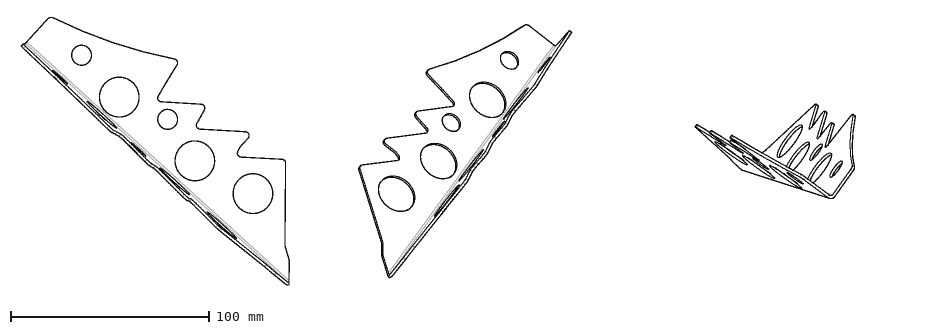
import cadquery as cq
import math

THICKNESS = 1.5
INNER_BEND_RADIUS = 1.0
OUTER_BEND_RADIUS = INNER_BEND_RADIUS + THICKNESS
BLANK_DEPTH = 4 * THICKNESS
WING_ANGLE = 45
FOLD_SLOPE = 30

SHEET_REACH = 48.5
TOP_CORNER_W = 20.0
TOP_EDGE_MID = (37.5, 33.8)
TIP_S = 181.2
FRONT_EDGE_SLOPE = 1.12
STEP_LOW_W = 10.2
STEP_HIGH_W = 14.0
STEP_SETBACK = 3.0
TOOTH_SLOPE = math.sqrt(2) * math.tan(math.radians(FOLD_SLOPE))

TOOTH_TIPS = [(63.5, 47.9), (88.8, 40.5), (115.5, 46.0)]
NOTCH_ROOTS = [(68.2, 24.0), (91.8, 26.7), (117.0, 30.5)]
HOOK_BENDS = [(65.8, 35.2), (91.2, 30.5), (115.4, 35.7)]

TOP_CORNER_RADIUS = 2.5
TIP_RADIUS = 2.0
ROOT_RADIUS = 1.9
STEP_RADIUS = 1.9
HOOK_RADIUS = 3.0

SMALL_HOLE_DIAMETER = 10.0
LARGE_HOLE_DIAMETER = 20.0
SMALL_HOLES = [(25.0, 16.1), (79.0, 21.5)]
LARGE_HOLES = [(53.3, 13.3), (103.2, 15.2), (136.0, 22.7)]


def front_edge_s(w):
    return TIP_S - w / FRONT_EDGE_SLOPE


def make_wing_blank():
    """Flat wing outline with rounded corners, as a prism through the sheet."""
    last_root = NOTCH_ROOTS[-1]
    upper_edge_s = TIP_S - STEP_SETBACK
    tooth_top_offset = last_root[1] - TOOTH_SLOPE * last_root[0]
    front_corner_s = (FRONT_EDGE_SLOPE * upper_edge_s - tooth_top_offset) / (FRONT_EDGE_SLOPE + TOOTH_SLOPE)
    front_corner = (front_corner_s, (upper_edge_s - front_corner_s) * FRONT_EDGE_SLOPE)
    step_high = (front_edge_s(STEP_HIGH_W) - STEP_SETBACK, STEP_HIGH_W)
    step_low = (front_edge_s(STEP_LOW_W), STEP_LOW_W)

    outline = cq.Workplane("XY", origin=(0, 0, -THICKNESS))
    outline = outline.lineTo(0, TOP_CORNER_W).threePointArc(TOP_EDGE_MID, TOOTH_TIPS[0])
    for index, (tip, bend, root) in enumerate(zip(TOOTH_TIPS, HOOK_BENDS, NOTCH_ROOTS)):
        if index > 0:
            outline = outline.lineTo(*tip)
        outline = outline.lineTo(*bend).lineTo(*root)
    outline = outline.lineTo(*front_corner).lineTo(*step_high).lineTo(*step_low).lineTo(TIP_S, 0)
    blank = outline.close().extrude(BLANK_DEPTH)

    roundings = [
        ([(0, TOP_CORNER_W)], TOP_CORNER_RADIUS),
        (TOOTH_TIPS + [front_corner], TIP_RADIUS),
        ([HOOK_BENDS[-1]], HOOK_RADIUS),
        (NOTCH_ROOTS, ROOT_RADIUS),
        ([step_high, step_low], STEP_RADIUS),
    ]
    for corners, radius in roundings:
        for s, w in corners:
            blank = blank.edges("|Z").edges(cq.selectors.NearestToPointSelector((s, w, 0))).fillet(radius)
    return blank


def cut_holes(blank):
    for centers, diameter in ((SMALL_HOLES, SMALL_HOLE_DIAMETER), (LARGE_HOLES, LARGE_HOLE_DIAMETER)):
        drills = cq.Workplane("XY").pushPoints(centers).circle(diameter / 2).extrude(BLANK_DEPTH, both=True)
        blank = blank.cut(drills)
    return blank


def make_folded_sheet():
    """Full-length V section with its bend, open upwards, the sharp outer fold on the X axis."""
    inner_offset = THICKNESS * math.sqrt(2)
    section = [(0, 0), (SHEET_REACH, SHEET_REACH), (SHEET_REACH, SHEET_REACH + inner_offset)]
    section += [(0, inner_offset), (-SHEET_REACH, SHEET_REACH + inner_offset), (-SHEET_REACH, SHEET_REACH)]
    sheet = cq.Workplane("YZ").polyline(section).close().extrude(TIP_S)
    sheet = sheet.edges(cq.selectors.NearestToPointSelector((TIP_S / 2, 0, 0))).fillet(OUTER_BEND_RADIUS)
    inner_fold = cq.selectors.NearestToPointSelector((TIP_S / 2, 0, inner_offset))
    return sheet.edges(inner_fold).fillet(INNER_BEND_RADIUS)


trimmer = cut_holes(make_wing_blank()).rotate((0, 0, 0), (1, 0, 0), WING_ANGLE)
box_size = 2 * TIP_S
left_half_space = cq.Workplane("XY").box(box_size, box_size, box_size, centered=(True, False, True))
wing = make_folded_sheet().intersect(left_half_space).intersect(trimmer)
bracket = wing.union(wing.mirror("XZ"))
result = bracket.rotate((0, 0, 0), (0, 1, 0), FOLD_SLOPE)